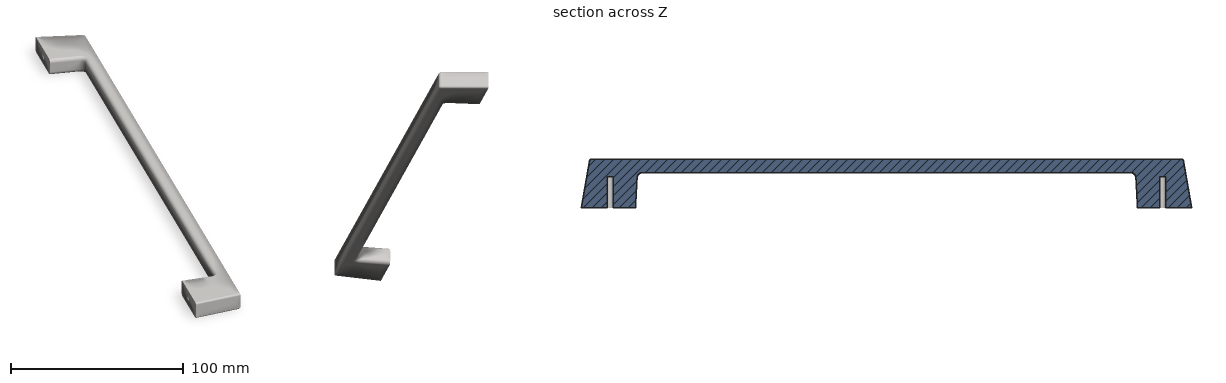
import cadquery as cq

length = 353.8
depth = 28.3
height = 10.0

end_taper = 5.0
grip_depth = 8.0
opening_width = 290.5
opening_taper = 1.0
corner_radius = 3.0

inner_round = 2.0
outer_round = 1.0
back_corner_radius = 1.5

hole_spacing = 319.8
hole_diameter = 3.2
hole_depth = 17.7

half_length = length / 2
half_opening = opening_width / 2
grip_front = depth - grip_depth
middle = height / 2


def prism(points):
    """Extrude a closed XY outline through the full height."""
    return cq.Workplane("XY").polyline(points).close().extrude(height)


def handle_blank():
    """Tapered bar with rounded back corners and rounded back and end rims."""
    blank = prism([
        (-half_length, 0),
        (half_length, 0),
        (half_length - end_taper, depth),
        (-half_length + end_taper, depth),
    ])
    blank = blank.edges("|Z and >Y").fillet(back_corner_radius)
    rims = blank.faces("|Z").edges().edges(cq.selectors.BoxSelector(
        (-length, outer_round, -height), (length, 2 * depth, 2 * height)))
    return rims.fillet(outer_round)


def cut_opening(body):
    """Cut the space between the feet and round its rims."""
    opening = prism([
        (-half_opening, 0),
        (half_opening, 0),
        (half_opening - opening_taper, grip_front),
        (-half_opening + opening_taper, grip_front),
    ])
    opening = opening.edges("|Z and >Y").fillet(corner_radius)
    body = body.cut(opening)
    opening_zone = cq.selectors.BoxSelector(
        (-half_opening - opening_taper, outer_round, -height),
        (half_opening + opening_taper, grip_front + outer_round, 2 * height),
    )
    return body.faces("|Z").edges().edges(opening_zone).fillet(inner_round)


def cut_screw_holes(body):
    """Drill one blind hole into the mounting face of each foot."""
    for side in (-1, 1):
        hole = cq.Solid.makeCylinder(
            hole_diameter / 2,
            hole_depth,
            cq.Vector(side * hole_spacing / 2, 0, middle),
            cq.Vector(0, 1, 0),
        )
        body = body.cut(cq.Workplane(obj=hole))
    return body


result = cut_screw_holes(cut_opening(handle_blank()))